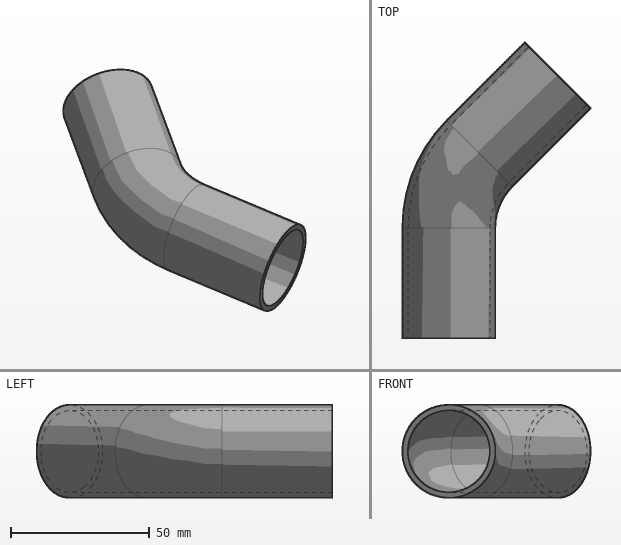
import cadquery as cq
import math

OVERALL_LENGTH = 107.1
OUTER_DIAMETER = 33.7
INNER_DIAMETER = 29.7
LEG_LENGTH = 40.0
BEND_ANGLE = 45.0

outer_radius = OUTER_DIAMETER / 2
angle = math.radians(BEND_ANGLE)
bend_radius = (
    (OVERALL_LENGTH - LEG_LENGTH - LEG_LENGTH * math.cos(angle)) / math.sin(angle) - outer_radius
)


def bend_point(turn):
    """Centreline point after turning through the given angle."""
    x = bend_radius * (1 - math.cos(turn))
    y = LEG_LENGTH + bend_radius * math.sin(turn)
    return x, y


bend_end_x, bend_end_y = bend_point(angle)
leg_end = (
    bend_end_x + LEG_LENGTH * math.sin(angle),
    bend_end_y + LEG_LENGTH * math.cos(angle),
)
centreline = (
    cq.Workplane("XY")
    .lineTo(0, LEG_LENGTH)
    .threePointArc(bend_point(angle / 2), (bend_end_x, bend_end_y))
    .lineTo(*leg_end)
)

result = (
    cq.Workplane("XZ")
    .circle(outer_radius)
    .circle(INNER_DIAMETER / 2)
    .sweep(centreline)
)